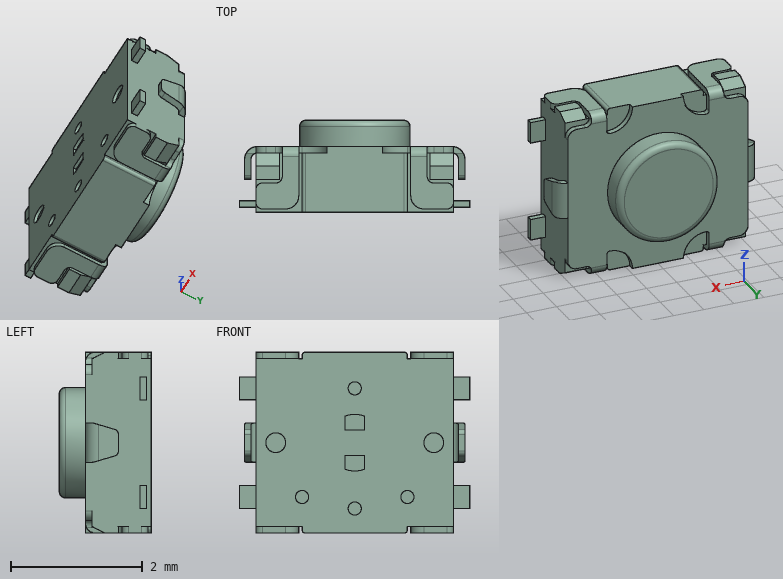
import cadquery as cq
import math


half_width = 1.5
half_height = 1.375
body_depth = 1.0
ledge_half_height = 1.275
middle_half_width = 0.8
middle_fillet = 0.05

sheet = 0.1
cover_front = body_depth - sheet
strip_half_width = 0.425
notch_radius = middle_half_width - strip_half_width
notch_fillet = 0.05
arm_inner = 0.85
arm_outer = 1.1
shoulder_height = 1.185
shoulder_fillet = 0.1
cover_corner = 0.15
bend_radius = 0.15

foot_front = 0.05
foot_back = 0.445
foot_corner = 0.1
foot_heel_radius = 0.2
foot_inner_fillet = 0.1

block_inner = 1.14
block_front = 0.5
block_slope_start = 0.7

hook_half_height = 0.3
hook_tip_half_height = 0.185
hook_reach = 1.675
hook_end = 0.5
hook_bend = 0.2
hook_taper_start = 0.89
hook_tip_radius = 0.08

pin_reach = 1.75
pin_height = 0.35
pin_thickness = 0.1
pin_front = 0.075
pin_center_z = 0.825

button_radius = 0.84
button_height = 0.4
button_fillet = 0.1

recess_depth = 0.05
large_recess_radius = 0.15
large_recess_places = [(-1.2, 0), (1.2, 0)]
small_recess_radius = 0.1
small_recess_places = [(0, 0.825), (0, -1.0), (-0.8, -0.825), (0.8, -0.825)]
window_half_width = 0.15
window_inner = 0.195
window_radius = 0.43


def box(x0, x1, y0, y1, z0, z1):
    """Axis-aligned box between two corners."""
    return cq.Workplane("XY").box(x1 - x0, y1 - y0, z1 - z0, centered=False).translate((x0, y0, z0))


def xz_plane(y):
    """Sketch plane at the given Y with local axes X and Z; a negative extrusion goes to +Y."""
    return cq.Workplane(cq.Plane(origin=(0, y, 0), xDir=(1, 0, 0), normal=(0, -1, 0)))


def nearest(point):
    """Selector for the edge whose centre is nearest to a point."""
    return cq.selectors.NearestToPointSelector(point)


def mirror_both(quarter):
    """Repeat a feature of the +X +Z quarter in all four quarters."""
    half = quarter.union(quarter.mirror("YZ"))
    return half.union(half.mirror("XY"))


def make_housing():
    ledges = box(-half_width, half_width, 0, cover_front, -ledge_half_height, ledge_half_height)
    middle = box(-middle_half_width, middle_half_width, 0, cover_front, -half_height, half_height)
    return ledges.union(middle.edges("|Y").fillet(middle_fillet))


def make_cover_plate():
    """Flat cover plate in one quarter, notched beside the middle strip and stepped at the corner."""
    diagonal = math.sqrt(0.5)
    notch_floor = half_height - notch_radius
    notch_mid = (middle_half_width - notch_radius * diagonal, half_height - notch_radius * diagonal)
    fillet_mid = (
        middle_half_width + notch_fillet * diagonal,
        notch_floor + notch_fillet * (1 - diagonal),
    )
    shoulder_inset = shoulder_fillet * (1 - diagonal)
    corner_inset = cover_corner * (1 - diagonal)
    return (
        xz_plane(cover_front)
        .lineTo(0, half_height)
        .lineTo(strip_half_width, half_height)
        .threePointArc(notch_mid, (middle_half_width, notch_floor))
        .threePointArc(fillet_mid, (arm_inner, notch_floor + notch_fillet))
        .lineTo(arm_inner, half_height)
        .lineTo(arm_outer, half_height)
        .lineTo(arm_outer, shoulder_height + shoulder_fillet)
        .threePointArc(
            (arm_outer + shoulder_inset, shoulder_height + shoulder_inset),
            (arm_outer + shoulder_fillet, shoulder_height),
        )
        .lineTo(half_width - cover_corner, shoulder_height)
        .threePointArc(
            (half_width - corner_inset, shoulder_height - corner_inset),
            (half_width, shoulder_height - cover_corner),
        )
        .lineTo(half_width, 0)
        .close()
        .extrude(-sheet)
    )


def make_folded_arm():
    """L-shaped flap lying on the housing ledge: an arm from the cover and a foot pointing outwards."""
    arm = box(arm_inner, arm_outer, foot_front, body_depth, ledge_half_height, half_height)
    foot = box(arm_inner, half_width, foot_front, foot_back, ledge_half_height, half_height)
    flap = arm.union(foot.edges("|Z and >X").fillet(foot_corner))
    flap = flap.edges("|Z and <X and <Y").fillet(foot_heel_radius)
    flap_middle_z = (ledge_half_height + half_height) / 2
    inner_corner = nearest((arm_outer, foot_back, flap_middle_z))
    return flap.edges(inner_corner).fillet(foot_inner_fillet)


def make_cover_quarter():
    """Cover plate and folded arm of one quarter, joined by a rounded bend."""
    bend_edge = nearest(((arm_inner + arm_outer) / 2, body_depth, half_height))
    return make_cover_plate().union(make_folded_arm()).edges(bend_edge).fillet(bend_radius)


def make_block():
    """Housing block beside the arm, sloping down towards the cover."""
    return (
        cq.Workplane("YZ", origin=(block_inner, 0, 0))
        .moveTo(block_front, 0)
        .lineTo(block_front, half_height)
        .lineTo(block_slope_start, half_height)
        .lineTo(cover_front, ledge_half_height)
        .lineTo(cover_front, 0)
        .close()
        .extrude(half_width - block_inner)
    )


def make_hook():
    """Hook bent forward from the +X side of the cover, narrowing to its tip."""
    strip = box(0, hook_reach, hook_end, body_depth, -hook_half_height, hook_half_height)
    strip = strip.edges("|Z and >X and >Y").fillet(hook_bend)
    hollow = box(0, hook_reach - sheet, 0, cover_front, -half_height, half_height)
    strip = strip.cut(hollow.edges("|Z and >X and >Y").fillet(hook_bend - sheet))
    outline = (
        cq.Workplane("YZ")
        .polyline([
            (body_depth, hook_half_height),
            (hook_taper_start, hook_half_height),
            (hook_end, hook_tip_half_height),
            (hook_end, -hook_tip_half_height),
            (hook_taper_start, -hook_half_height),
            (body_depth, -hook_half_height),
        ])
        .close()
        .extrude(hook_reach)
    )
    outline = outline.edges("|X and <Y").fillet(hook_tip_radius)
    return strip.intersect(outline)


def make_pin():
    pin_bottom = pin_center_z - pin_height / 2
    pin_back = pin_front + pin_thickness
    return box(middle_half_width, pin_reach, pin_front, pin_back, pin_bottom, pin_bottom + pin_height)


def make_button():
    cylinder = xz_plane(cover_front).circle(button_radius).extrude(-(sheet + button_height))
    return cylinder.faces(">Y").edges().fillet(button_fillet)


def make_recesses():
    """Round ejector marks and two windows with an arched outer edge."""
    disc = xz_plane(0).circle(window_radius).extrude(-recess_depth)
    window = box(-window_half_width, window_half_width, 0, recess_depth, window_inner, window_radius)
    window = window.intersect(disc)
    recesses = window.union(window.mirror("XY"))
    large_marks = xz_plane(0).pushPoints(large_recess_places).circle(large_recess_radius)
    small_marks = xz_plane(0).pushPoints(small_recess_places).circle(small_recess_radius)
    return recesses.union(large_marks.extrude(-recess_depth)).union(small_marks.extrude(-recess_depth))


hook = make_hook()
result = make_housing()
for feature in (make_cover_quarter(), make_block(), make_pin()):
    result = result.union(mirror_both(feature))
result = result.union(hook).union(hook.mirror("YZ")).union(make_button())
result = result.cut(make_recesses())